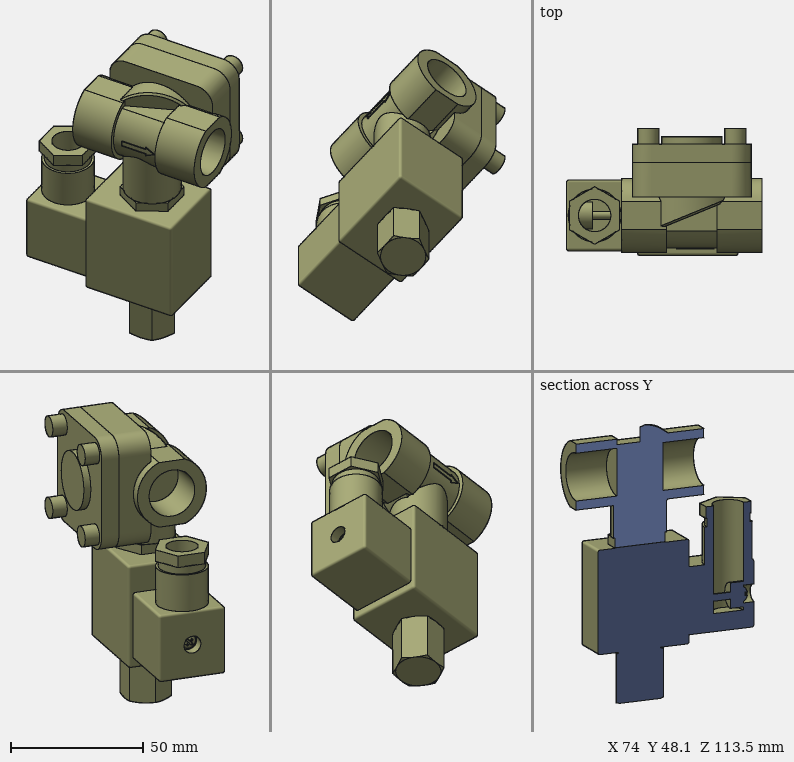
import cadquery as cq
import math


pipe_length = 53.1
collar_radius = 14.1
collar_flat_height = 26.1
waist_radius = 12.4
waist_flat_height = 21.8
waist_start_x = -9.6
waist_end_x = 9.4
port_diameter = 18.6
port_depth = 16.9

arrow_height = 0.3
arrow_tail_x = -5.9
arrow_head_x = 4.4
arrow_tip_x = 8.3
arrow_shaft_width = 2.2
arrow_head_width = 3.9

flange_side = 45.0
flange_corner_radius = 7.0
flange_front_y = 6.9
flange_back_y = 20.0

cover_back_y = 27.0
boss_diameter = 22.9
boss_back_y = 29.9
bolt_diameter = 8.2
bolt_back_y = 32.9
bolt_offset = 16.5

chamber_radius = 17.5
chamber_tilt = 22.2
chamber_edge_chamfer = 0.8

neck_diameter = 22.1
neck_bottom_z = -25.9
neck_hex_flats = 20.9

coil_top_z = -29.7
coil_height = 41.2
coil_left_x = -20.5
coil_width = 38.0
coil_depth = 30.4
coil_bottom_z = coil_top_z - coil_height
coil_edge_fillet = 1.0

overall_height = 113.5
nut_corners = 19.7
nut_flats = nut_corners * math.cos(math.radians(30))
nut_chamfer_height = 0.5
nut_bottom_z = flange_side / 2 - overall_height

overall_length = 74.0
connector_left_x = pipe_length / 2 - overall_length
connector_length = coil_left_x - connector_left_x
connector_side = 26.9
connector_top_z = -40.5
connector_edge_fillet = 1.0

gland_x = -36.8
tube_diameter = 20.0
tube_top_z = -25.8
gland_neck_diameter = 18.0
gland_neck_top_z = -22.5
gland_hex_flats = 18.8
gland_top_z = -17.8
gland_bore_diameter = 12.3

screw_z = connector_top_z - connector_side / 2
access_diameter = 6.8
screw_head_diameter = 10.2
screw_head_left_x = -43.1
screw_dome_diameter = 5.9
screw_dome_height = 1.7
screw_head_base_x = -37.6
screw_shank_diameter = 3.0
cross_length = 3.2
cross_width = 0.8
cross_depth = 1.1
gland_bore_bottom_z = screw_z - gland_bore_diameter / 2


def cylinder_x(diameter, start_x, end_x, z=0.0):
    """Cylinder along X at height z."""
    return cq.Workplane("YZ", origin=(start_x, 0, z)).circle(diameter / 2).extrude(end_x - start_x)


def cylinder_y(diameter, start_y, end_y, x=0.0, z=0.0):
    """Cylinder along Y at the given x and z."""
    plane = cq.Workplane("XZ", origin=(x, start_y, z))
    return plane.circle(diameter / 2).extrude(start_y - end_y)


def cylinder_z(diameter, bottom_z, top_z, x=0.0):
    """Cylinder along Z at the given x."""
    return cq.Workplane("XY", origin=(x, 0, bottom_z)).circle(diameter / 2).extrude(top_z - bottom_z)


def hexagon_z(flats, bottom_z, top_z, x=0.0, corners_along_x=False):
    """Hexagonal prism along Z, with its corners on the X or the Y axis."""
    turn = 0 if corners_along_x else 90
    corners = flats / math.cos(math.radians(30))
    prism = cq.Workplane("XY").polygon(6, corners).extrude(top_z - bottom_z)
    return prism.rotate((0, 0, 0), (0, 0, 1), turn).translate((x, 0, bottom_z))


def flatted_bar(radius, flat_height, start_x, end_x):
    """Round bar along X with a flat on its top and its bottom."""
    slab = cq.Workplane("XY").box(2 * pipe_length, 2 * radius, flat_height)
    return cylinder_x(2 * radius, start_x, end_x).intersect(slab)


def make_flow_arrow():
    """Raised arrow that follows the waist surface."""
    shaft_z = arrow_shaft_width / 2
    head_z = arrow_head_width / 2
    upper_half = [
        (arrow_tail_x, 0),
        (arrow_tail_x, shaft_z),
        (arrow_head_x, shaft_z),
        (arrow_head_x, head_z),
        (arrow_tip_x, 0),
    ]
    outline = cq.Workplane("XZ").polyline(upper_half).mirrorX().extrude(collar_radius)
    skin_radius = waist_radius + arrow_height
    return outline.intersect(cylinder_x(2 * skin_radius, arrow_tail_x, arrow_tip_x))


def make_seat_chamber():
    """Round block along Y, cut by a plane tilted about Z and chamfered on that edge."""
    block = cylinder_y(2 * chamber_radius, -chamber_radius, flange_front_y)
    front_half = cq.Workplane("XY").box(
        4 * chamber_radius, 2 * chamber_radius, 4 * chamber_radius, centered=(True, False, True)
    )
    front_half = front_half.translate((0, -2 * chamber_radius, 0))
    block = block.cut(front_half.rotate((0, 0, 0), (0, 0, 1), chamber_tilt))
    return block.faces("<Y").edges().chamfer(chamber_edge_chamfer)


def flange_plate(front_y, back_y):
    """Square plate with rounded corners."""
    plate = cq.Workplane("XZ", origin=(0, front_y, 0)).rect(flange_side, flange_side)
    return plate.extrude(front_y - back_y).edges("|Y").fillet(flange_corner_radius)


def make_cover():
    """Cover plate with a central boss and four bolt heads."""
    cover = flange_plate(flange_back_y, cover_back_y)
    cover = cover.union(cylinder_y(boss_diameter, cover_back_y, boss_back_y))
    for x in (-bolt_offset, bolt_offset):
        for z in (-bolt_offset, bolt_offset):
            cover = cover.union(cylinder_y(bolt_diameter, cover_back_y, bolt_back_y, x, z))
    return cover


def make_valve_body():
    """Pipe, flange, seat chamber, neck and neck hexagon as one body."""
    pipe_end = pipe_length / 2
    valve = flatted_bar(waist_radius, waist_flat_height, waist_start_x, waist_end_x)
    valve = valve.union(flatted_bar(collar_radius, collar_flat_height, -pipe_end, waist_start_x))
    valve = valve.union(flatted_bar(collar_radius, collar_flat_height, waist_end_x, pipe_end))
    valve = valve.union(flange_plate(flange_front_y, flange_back_y))
    valve = valve.union(make_seat_chamber())
    valve = valve.union(cylinder_z(neck_diameter, neck_bottom_z, 0))
    valve = valve.union(hexagon_z(neck_hex_flats, coil_top_z, neck_bottom_z))
    valve = valve.union(make_flow_arrow())
    valve = valve.cut(cylinder_x(port_diameter, -pipe_end, port_depth - pipe_end))
    return valve.cut(cylinder_x(port_diameter, pipe_end - port_depth, pipe_end))


def make_nut():
    """Hexagon with the corners chamfered at both ends."""
    prism = hexagon_z(nut_flats, nut_bottom_z, coil_bottom_z, corners_along_x=True)
    chamfer_width = (nut_corners - nut_flats) / 2
    envelope = cylinder_z(nut_corners, nut_bottom_z, coil_bottom_z)
    envelope = envelope.faces("<Z or >Z").edges().chamfer(nut_chamfer_height, chamfer_width)
    return prism.intersect(envelope)


def make_coil_housing():
    """Coil housing with rounded edges and the clamping nut below it."""
    housing = cq.Workplane("XY").box(
        coil_width, coil_depth, coil_height, centered=(False, True, False)
    )
    housing = housing.edges().fillet(coil_edge_fillet)
    return housing.translate((coil_left_x, 0, coil_bottom_z)).union(make_nut())


def make_screw_dome():
    """Spherical cap on the screw head with a cross recess turned 45 degrees."""
    dome_radius = screw_dome_diameter / 2
    ball_radius = (dome_radius**2 + screw_dome_height**2) / (2 * screw_dome_height)
    apex_x = screw_head_left_x - screw_dome_height
    dome = cq.Workplane("XY").sphere(ball_radius).translate((apex_x + ball_radius, 0, screw_z))
    dome = dome.intersect(cylinder_x(screw_dome_diameter, apex_x, screw_head_left_x, screw_z))
    for angle in (45, 135):
        slot = cq.Workplane("XY").box(2 * cross_depth, cross_length, cross_width)
        slot = slot.rotate((0, 0, 0), (1, 0, 0), angle)
        dome = dome.cut(slot.translate((apex_x, 0, screw_z)))
    return dome


def make_screw():
    """Screw head set into the left wall of the gland bore, its shank into the right wall."""
    shank_end_x = gland_x + gland_bore_diameter / 2 + screw_shank_diameter
    head = cylinder_x(screw_head_diameter, screw_head_left_x, screw_head_base_x, screw_z)
    shank = cylinder_x(screw_shank_diameter, screw_head_base_x, shank_end_x, screw_z)
    return head.union(shank).union(make_screw_dome())


def make_connector():
    """Connector box with the cable gland on top and the fixing screw inside its bore."""
    box = cq.Workplane("XY").box(
        connector_length, connector_side, connector_side, centered=(False, True, True)
    )
    box = box.edges("|X or <X").fillet(connector_edge_fillet)
    connector = box.translate((connector_left_x, 0, screw_z))
    connector = connector.union(cylinder_z(tube_diameter, screw_z, tube_top_z, gland_x))
    connector = connector.union(cylinder_z(gland_neck_diameter, tube_top_z, gland_neck_top_z, gland_x))
    connector = connector.union(hexagon_z(gland_hex_flats, gland_neck_top_z, gland_top_z, gland_x))
    connector = connector.cut(
        cylinder_z(gland_bore_diameter, gland_bore_bottom_z, gland_top_z, gland_x)
    )
    connector = connector.cut(
        cylinder_x(access_diameter, connector_left_x, screw_head_left_x, screw_z)
    )
    return connector.union(make_screw())


def make_solenoid():
    """Coil housing with its nut, cable connector and fixing screw as one body."""
    return make_coil_housing().union(make_connector())


valve_body = make_valve_body()
cover = make_cover()
solenoid = make_solenoid()

result = cq.Compound.makeCompound([
    *valve_body.solids().vals(),
    *cover.solids().vals(),
    *solenoid.solids().vals(),
])